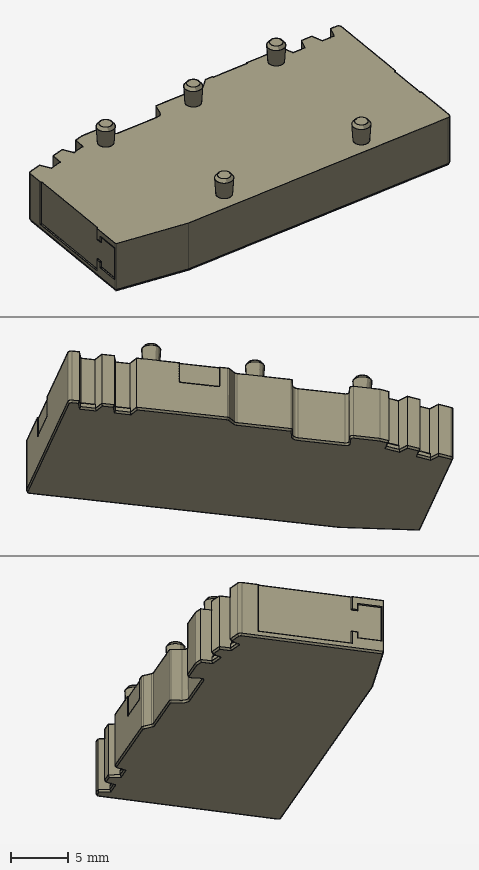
import cadquery as cq
import math

WIDTH = 16.9
LENGTH = 35.0
BODY_HEIGHT = 5.1
CORNER_RADIUS = 0.3
BASE_CHAMFER_HEIGHT = 0.2
BASE_CHAMFER_INSET = 0.1

STEP_DEPTH = 0.77
STEP_TOP_Y = 20.7
SLOT_FLOOR_X = 2.25
SLOT_MOUTH_TOP_Y = 14.85
SLOT_FLOOR_TOP_Y = 14.45
SLOT_MOUTH_BOTTOM_Y = 9.7
SLOT_FLOOR_BOTTOM_Y = 9.45
SLOT_TOP_RADIUS = 0.6
SLOT_BOTTOM_RADIUS = 0.28
SLOT_MOUTH_TOP_RADIUS = 0.15
SLOT_MOUTH_BOTTOM_RADIUS = 0.28
SLANT_START_Y = 7.0
SLANT_ANGLE = 15.0

TAPER_START_Y = 7.0
TAPER_INSET = 1.1
TAPER_CORNER_RADIUS = 0.1

NOTCHES_PER_WALL = 2
NOTCH_DEPTH = 0.98
LEDGE_HEIGHT = 0.6
LEDGE_WIDTH = 0.1
STRAIGHT_MOUTH = 2.0
STRAIGHT_FLOOR = 1.33
STRAIGHT_FIRST_Y = 33.05
STRAIGHT_PITCH = 3.1
SLANT_MOUTH = 1.82
SLANT_FLOOR = 1.25
SLANT_FIRST_DISTANCE = 1.8
SLANT_PITCH = 3.08

RECESS_DEPTH = 0.1
GRIP_BOTTOM_Z = 3.2
GRIP_CORNER_RADIUS = 0.15
LEFT_GRIP_START = 21.5
LEFT_GRIP_LENGTH = 3.6
BACK_GRIP_START = 8.47
BACK_GRIP_LENGTH = 3.9
LABEL_LEFT_X = 4.38
LABEL_RIGHT_X = 12.95
LABEL_BOTTOM_Z = 0.6
LABEL_WALL_INSET = 0.07
NECK_BOTTOM_Z = 1.75
NECK_TOP_Z = 3.92
TAB_LEFT_X = 13.45
TAB_RIGHT_X = 15.65
TAB_BOTTOM_Z = 1.2
TAB_TOP_Z = 4.5

PEG_CENTRES = [(1.3, 27.35), (2.2, 17.85), (2.75, 8.12), (15.33, 26.53), (15.1, 12.08)]
PEG_HEIGHT = 2.03
PEG_BASE_RADIUS = 0.75
PEG_RIM_RADIUS = 0.85
PEG_TIP_RADIUS = 0.6
PEG_BEVEL_HEIGHT = 0.3

CUT_OVERSHOOT = 0.35


def body_blank():
    slant_end_x = STEP_DEPTH + SLANT_START_Y * math.tan(math.radians(SLANT_ANGLE))
    top_left = (0, LENGTH)
    top_right = (WIDTH, LENGTH)
    step_top = (0, STEP_TOP_Y)
    step_bottom = (STEP_DEPTH, STEP_TOP_Y - STEP_DEPTH)
    slot_mouth_top = (STEP_DEPTH, SLOT_MOUTH_TOP_Y)
    slot_floor_top = (SLOT_FLOOR_X, SLOT_FLOOR_TOP_Y)
    slot_floor_bottom = (SLOT_FLOOR_X, SLOT_FLOOR_BOTTOM_Y)
    slot_mouth_bottom = (STEP_DEPTH, SLOT_MOUTH_BOTTOM_Y)
    slant_start = (STEP_DEPTH, SLANT_START_Y)
    bottom_left = (slant_end_x, 0)
    bottom_right = (WIDTH - TAPER_INSET, 0)
    taper_start = (WIDTH, TAPER_START_Y)
    outline = [
        top_left, step_top, step_bottom,
        slot_mouth_top, slot_floor_top, slot_floor_bottom, slot_mouth_bottom,
        slant_start, bottom_left, bottom_right, taper_start, top_right,
    ]
    blank = cq.Workplane("XY").polyline(outline).close().extrude(BODY_HEIGHT)

    corner_radii = [
        (CORNER_RADIUS, [top_left, top_right, step_top, step_bottom, bottom_left]),
        (TAPER_CORNER_RADIUS, [bottom_right]),
        (SLOT_TOP_RADIUS, [slot_floor_top]),
        (SLOT_BOTTOM_RADIUS, [slot_floor_bottom]),
        (SLOT_MOUTH_TOP_RADIUS, [slot_mouth_top]),
        (SLOT_MOUTH_BOTTOM_RADIUS, [slot_mouth_bottom]),
    ]
    for radius, corners in corner_radii:
        for x, y in corners:
            edge = cq.selectors.NearestToPointSelector((x, y, BODY_HEIGHT / 2))
            blank = blank.edges("|Z").edges(edge).fillet(radius)
    return blank


def notch_tool(mouth, floor, extra_depth, bottom_z):
    """Prism for a notch entering a wall on the Y axis, its sides sloping in towards +X."""
    side_slope = (mouth - floor) / 2 / NOTCH_DEPTH
    depth = NOTCH_DEPTH + extra_depth
    half_outside = mouth / 2 + side_slope * CUT_OVERSHOOT
    half_floor = floor / 2 - side_slope * extra_depth
    outline = [
        (-CUT_OVERSHOOT, -half_outside), (depth, -half_floor),
        (depth, half_floor), (-CUT_OVERSHOOT, half_outside),
    ]
    return (
        cq.Workplane("XY").workplane(offset=bottom_z)
        .polyline(outline).close().extrude(BODY_HEIGHT - bottom_z)
    )


def cut_notches(body, extra_depth, bottom_z):
    straight_tool = notch_tool(STRAIGHT_MOUTH, STRAIGHT_FLOOR, extra_depth, bottom_z)
    slanted_tool = notch_tool(SLANT_MOUTH, SLANT_FLOOR, extra_depth, bottom_z)
    for index in range(NOTCHES_PER_WALL):
        straight = straight_tool.translate((0, STRAIGHT_FIRST_Y - index * STRAIGHT_PITCH, 0))
        slanted = (
            slanted_tool.translate((0, -SLANT_FIRST_DISTANCE - index * SLANT_PITCH, 0))
            .rotate((0, 0, 0), (0, 0, 1), SLANT_ANGLE)
            .translate((STEP_DEPTH, SLANT_START_Y, 0))
        )
        body = body.cut(straight).cut(slanted)
    return body


def wall_box(x_start, x_end, y_start, y_end, z_start, z_end):
    size = (x_end - x_start, y_end - y_start, z_end - z_start)
    return cq.Workplane("XY").box(*size, centered=False).translate((x_start, y_start, z_start))


def grip_recesses():
    left = wall_box(
        0, RECESS_DEPTH,
        LEFT_GRIP_START, LEFT_GRIP_START + LEFT_GRIP_LENGTH,
        GRIP_BOTTOM_Z, BODY_HEIGHT,
    ).edges("|X and <Z").fillet(GRIP_CORNER_RADIUS)
    back = wall_box(
        BACK_GRIP_START, BACK_GRIP_START + BACK_GRIP_LENGTH,
        LENGTH - RECESS_DEPTH, LENGTH,
        GRIP_BOTTOM_Z, BODY_HEIGHT,
    ).edges("|Y and <Z").fillet(GRIP_CORNER_RADIUS)
    return left.union(back)


def label_recess():
    """Label panel open at the top, joined by a neck to a closed tab, all with sloping walls."""
    open_top_z = BODY_HEIGHT + CUT_OVERSHOOT
    outline = [
        (LABEL_LEFT_X, open_top_z), (LABEL_LEFT_X, LABEL_BOTTOM_Z), (LABEL_RIGHT_X, LABEL_BOTTOM_Z),
        (LABEL_RIGHT_X, NECK_BOTTOM_Z), (TAB_LEFT_X, NECK_BOTTOM_Z), (TAB_LEFT_X, TAB_BOTTOM_Z),
        (TAB_RIGHT_X, TAB_BOTTOM_Z), (TAB_RIGHT_X, TAB_TOP_Z), (TAB_LEFT_X, TAB_TOP_Z),
        (TAB_LEFT_X, NECK_TOP_Z), (LABEL_RIGHT_X, NECK_TOP_Z), (LABEL_RIGHT_X, open_top_z),
    ]
    wall_slope = math.degrees(math.atan(LABEL_WALL_INSET / RECESS_DEPTH))
    return cq.Workplane("XZ").polyline(outline).close().extrude(-RECESS_DEPTH, taper=wall_slope)


def peg():
    rim_height = PEG_HEIGHT - PEG_BEVEL_HEIGHT
    profile = [
        (0, 0), (PEG_BASE_RADIUS, 0), (PEG_RIM_RADIUS, rim_height),
        (PEG_TIP_RADIUS, PEG_HEIGHT), (0, PEG_HEIGHT),
    ]
    return cq.Workplane("XZ").polyline(profile).close().revolve(360, (0, 0), (0, 1))


body = cut_notches(body_blank(), extra_depth=0, bottom_z=0)
body = body.faces("<Z").chamfer(BASE_CHAMFER_INSET, BASE_CHAMFER_HEIGHT)
body = cut_notches(body, extra_depth=LEDGE_WIDTH, bottom_z=LEDGE_HEIGHT)
body = body.cut(grip_recesses()).cut(label_recess())
for peg_x, peg_y in PEG_CENTRES:
    body = body.union(peg().translate((peg_x, peg_y, BODY_HEIGHT)))

result = body